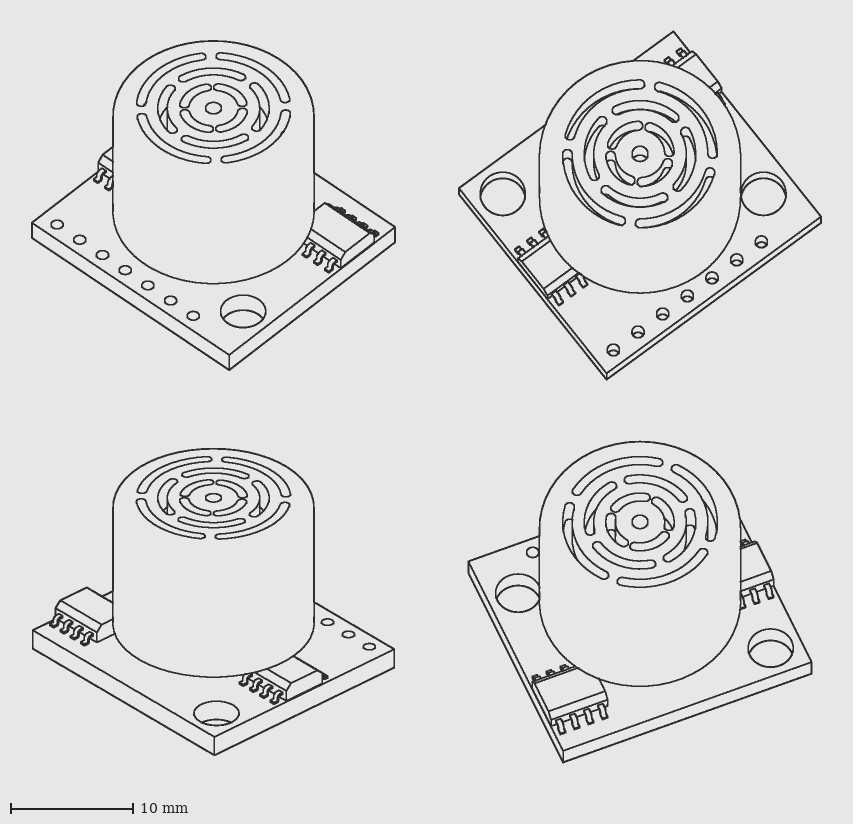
import cadquery as cq
import math

board_length = 22.1
board_width = 19.93
board_thickness = 1.8
mount_hole_diameter = 3.7
mount_hole_places = [(-8.49, 7.4), (8.49, -5.55)]
header_hole_diameter = 1.0
header_hole_count = 7
header_pitch = 2.55
header_start_x = -9.4
header_y = -8.7

can_radius = 8.25
can_height = 12.15
can_edge_radius = 1.0
can_gap = 1.6
pin_diameter = 1.02
pin_spacing = 10.0
pin_protrusion = 0.09
pin_places = [(0, -pin_spacing / 2), (0, pin_spacing / 2)]

slot_depth = 2.5
slot_width = 0.77
center_hole_diameter = 1.3
slots_per_ring = 4
slot_rings = [
    (2.4, 33.3, 0),
    (4.18, 34.4, 45),
    (5.95, 37.2, 0),
]

chip_length = 5.04
chip_width = 4.0
chip_standoff = 0.09
chip_chamfer = 0.53
chip_offset_x = (board_length - chip_length) / 2
chip_places = [(-chip_offset_x, 0), (chip_offset_x, 5.44)]

lead_width = 0.46
lead_thickness = 0.15
lead_row_span = 3.73
leads_per_side = 4
lead_pitch = lead_row_span / (leads_per_side - 1)
lead_top = 0.7
lead_knee = 0.62
lead_reach = 1.0
knee_inner_radius = 0.18
foot_inner_radius = 0.05


def make_board():
    header_places = [(header_start_x + i * header_pitch, header_y) for i in range(header_hole_count)]
    plate = cq.Workplane("XY").rect(board_length, board_width).extrude(-board_thickness)
    mount_holes = cq.Workplane("XY").pushPoints(mount_hole_places).circle(mount_hole_diameter / 2)
    header_holes = cq.Workplane("XY").pushPoints(header_places).circle(header_hole_diameter / 2)
    pin_holes = cq.Workplane("XY").pushPoints(pin_places).circle(pin_diameter / 2)
    for holes in (mount_holes, header_holes, pin_holes):
        plate = plate.cut(holes.extrude(-board_thickness))
    return plate


def arc_slot(radius, half_angle, middle_angle):
    """Cutter for a curved slot with round ends, reaching down from the top of the can."""

    def polar(distance, angle):
        turned = math.radians(middle_angle + angle)
        return (distance * math.cos(turned), distance * math.sin(turned))

    inner = radius - slot_width / 2
    outer = radius + slot_width / 2
    start_center = polar(radius, -half_angle)
    end_center = polar(radius, half_angle)

    def tip(center, direction):
        """Outermost point of the round end; direction is -1 at the start and 1 at the end."""
        angle = math.radians(middle_angle + direction * (half_angle + 90))
        reach = slot_width / 2
        return (center[0] + reach * math.cos(angle), center[1] + reach * math.sin(angle))

    return (
        cq.Workplane("XY", origin=(0, 0, can_gap + can_height))
        .moveTo(*polar(outer, -half_angle))
        .threePointArc(polar(outer, 0), polar(outer, half_angle))
        .threePointArc(tip(end_center, 1), polar(inner, half_angle))
        .threePointArc(polar(inner, 0), polar(inner, -half_angle))
        .threePointArc(tip(start_center, -1), polar(outer, -half_angle))
        .close()
        .extrude(-slot_depth)
    )


def make_transducer():
    can = (
        cq.Workplane("XY", origin=(0, 0, can_gap))
        .circle(can_radius)
        .extrude(can_height)
        .faces(">Z")
        .edges()
        .fillet(can_edge_radius)
    )
    center_hole = (
        cq.Workplane("XY", origin=(0, 0, can_gap + can_height))
        .circle(center_hole_diameter / 2)
        .extrude(-slot_depth)
    )
    can = can.cut(center_hole)
    for radius, half_angle, first_angle in slot_rings:
        for i in range(slots_per_ring):
            can = can.cut(arc_slot(radius, half_angle, first_angle + i * 360 / slots_per_ring))
    pins = (
        cq.Workplane("XY", origin=(0, 0, can_gap))
        .pushPoints(pin_places)
        .circle(pin_diameter / 2)
        .extrude(-(can_gap + board_thickness + pin_protrusion))
    )
    return can.union(pins)


def make_lead():
    """One lead centred on X = 0, leaving the +Y side of a chip and standing on the board."""
    side = chip_width / 2
    strip = (
        cq.Workplane("YZ")
        .polyline(
            [
                (side, lead_top),
                (side + lead_knee, lead_top),
                (side + lead_knee, lead_thickness),
                (side + lead_reach, lead_thickness),
                (side + lead_reach, 0),
                (side + lead_knee - lead_thickness, 0),
                (side + lead_knee - lead_thickness, lead_top - lead_thickness),
                (side, lead_top - lead_thickness),
            ]
        )
        .close()
        .extrude(lead_width / 2, both=True)
    )

    def corner(y, z):
        return cq.selectors.NearestToPointSelector((0, y, z))

    outer_y = side + lead_knee
    inner_y = outer_y - lead_thickness
    bends = [
        (outer_y, lead_top, knee_inner_radius + lead_thickness),
        (inner_y, lead_top - lead_thickness, knee_inner_radius),
        (outer_y, lead_thickness, foot_inner_radius),
        (inner_y, 0, foot_inner_radius + lead_thickness),
    ]
    for y, z, radius in bends:
        strip = strip.edges("|X").edges(corner(y, z)).fillet(radius)
    return strip


def make_chip(x, y):
    chip = (
        cq.Workplane("XY", origin=(0, 0, chip_standoff))
        .rect(chip_length, chip_width)
        .extrude(can_gap - chip_standoff)
        .faces(">Z")
        .edges("|X")
        .chamfer(chip_chamfer)
    )
    lead = make_lead()
    for i in range(leads_per_side):
        side_lead = lead.translate((i * lead_pitch - lead_row_span / 2, 0, 0))
        chip = chip.union(side_lead).union(side_lead.mirror("XZ"))
    return chip.translate((x, y, 0))


board = make_board()
transducer = make_transducer()
chips = [make_chip(x, y) for x, y in chip_places]

result = cq.Compound.makeCompound([board.val(), transducer.val(), *[chip.val() for chip in chips]])